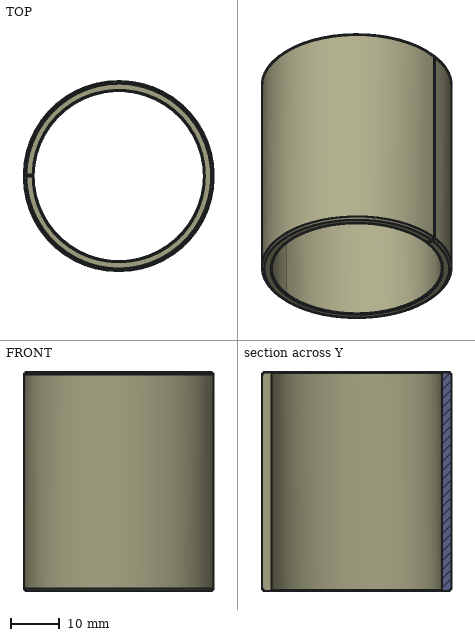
import cadquery as cq

height = 45.0
outer_diameter = 39.0
inner_diameter = 35.0
outer_chamfer = 0.5
inner_chamfer = 0.2
seam_width = 0.3

outer_radius = outer_diameter / 2
inner_radius = inner_diameter / 2
half_height = height / 2


def make_sleeve():
    """Revolve the wall section, with chamfers on all four rims, about Z."""
    end_outer_radius = outer_radius - outer_chamfer
    end_inner_radius = inner_radius + inner_chamfer
    outer_edge_z = half_height - outer_chamfer
    inner_edge_z = half_height - inner_chamfer
    section = [
        (inner_radius, -inner_edge_z),
        (end_inner_radius, -half_height),
        (end_outer_radius, -half_height),
        (outer_radius, -outer_edge_z),
        (outer_radius, outer_edge_z),
        (end_outer_radius, half_height),
        (end_inner_radius, half_height),
        (inner_radius, inner_edge_z),
    ]
    return cq.Workplane("XZ").polyline(section).close().revolve(360, (0, 0), (0, 1))


def make_seam_cutter():
    """Thin slab that splits the wall on the -X side, with one face on the XZ plane."""
    slab = cq.Workplane("XY").box(outer_radius, seam_width, height, centered=(False, False, True))
    return slab.translate((-outer_radius, 0, 0))


result = make_sleeve().cut(make_seam_cutter())